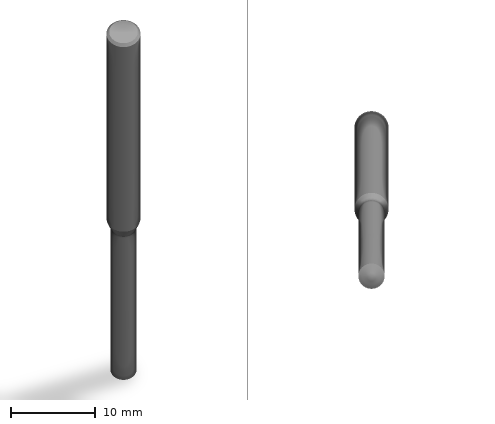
import cadquery as cq

total_length = 66.0
shank_diameter = 4.0
shank_length = 36.1
shank_chamfer = 0.3
taper_length = 1.6
tool_diameter = 3.1
cutter_length = 13.8
point_height = 0.6

shank_radius = shank_diameter / 2
tool_radius = tool_diameter / 2
shank_bottom = total_length - shank_length
neck_top = shank_bottom - taper_length


def make_holder():
    """Chamfered shank that tapers down to a slim neck."""
    profile = (
        cq.Workplane("XZ")
        .moveTo(0, cutter_length)
        .lineTo(tool_radius, cutter_length)
        .lineTo(tool_radius, neck_top)
        .lineTo(shank_radius, shank_bottom)
        .lineTo(shank_radius, total_length - shank_chamfer)
        .lineTo(shank_radius - shank_chamfer, total_length)
        .lineTo(0, total_length)
        .close()
    )
    return profile.revolve(360, (0, 0, 0), (0, 1, 0))


def make_cutter():
    """Round cutting end with a shallow conical point, butted against the neck."""
    profile = (
        cq.Workplane("XZ")
        .lineTo(tool_radius, point_height)
        .lineTo(tool_radius, cutter_length)
        .lineTo(0, cutter_length)
        .close()
    )
    return profile.revolve(360, (0, 0, 0), (0, 1, 0))


holder = make_holder()
cutter = make_cutter()

result = cq.Compound.makeCompound([holder.val(), cutter.val()])